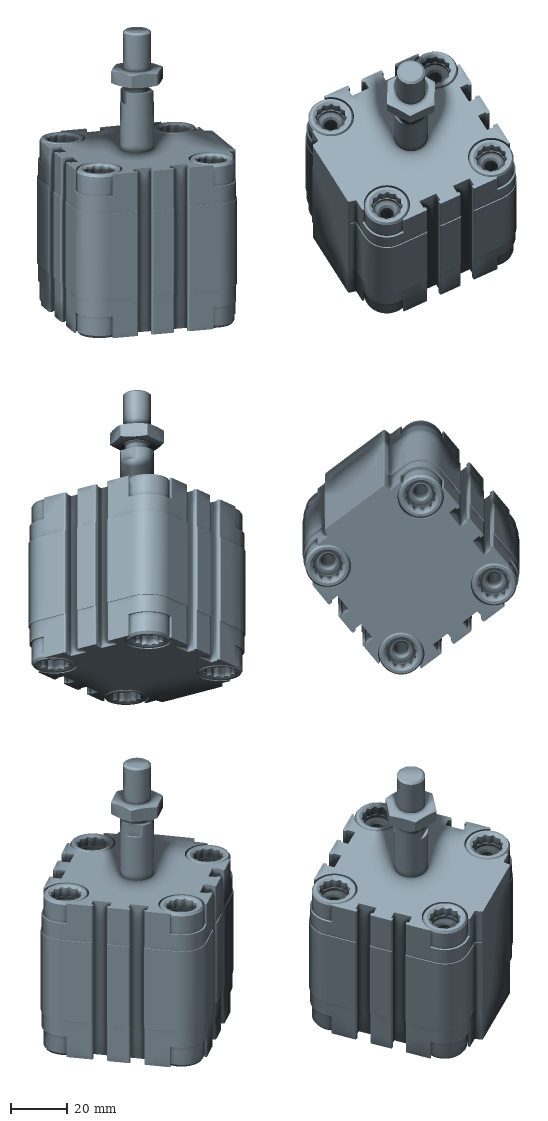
import cadquery as cq
import math

total_height = 104.0
housing_height = 60.4
cap_height = 14.5

barrel_width = 60.0
barrel_half_width = barrel_width / 2
barrel_step = 0.3
cap_half_width = barrel_half_width - barrel_step
screw_offset = 21.0

depth_over_ridge = 62.5
ridge_y = depth_over_ridge - barrel_half_width
ridge_top_half_width = 13.5
ridge_base_half_width = 14.1
ridge_top_round = 0.6
ridge_base_round = 0.5

slot_offset = 6.8
slot_mouth_width = 5.2
slot_inner_width = 6.8
slot_lip_distance = 28.3
slot_floor_distance = 25.2
slot_lip_round = 0.5

screw_diameter = 16.0
screw_rim_diameter = 14.8
screw_chamfer_height = 0.9
screw_pocket_diameter = 16.4
relief_depth = 8.0
relief_overrun = 2.2
socket_mouth_diameter = 12.8
socket_point_diameter = 11.4
socket_cone_depth = 0.8
socket_spline_depth = 4.0
socket_floor_diameter = 10.0
socket_depth = 5.1
bore_diameter = 4.9
bore_mouth_diameter = 6.5

rod_diameter = 12.0
rod_shoulder_z = 82.1
flat_spacing = 10.0
flat_bottom_z = 77.5
neck_diameter = 8.5
thread_diameter = 10.0
thread_start_z = 84.1
thread_tip_diameter = 8.3
thread_tip_height = 0.6

nut_across_flats = 16.8
nut_bottom_z = 85.0
nut_height = 5.0
nut_chamfer_angle = math.radians(15)

hexagon_sides = 6
hexagon_step = 360 / hexagon_sides


def cylinder(diameter, bottom_z, height):
    """Cylinder on the Z axis."""
    return cq.Workplane("XY").circle(diameter / 2).extrude(height).translate((0, 0, bottom_z))


def cone(lower_diameter, upper_diameter, bottom_z, height):
    """Truncated cone on the Z axis."""
    base_point = cq.Vector(0, 0, bottom_z)
    return cq.Workplane(obj=cq.Solid.makeCone(lower_diameter / 2, upper_diameter / 2, height, pnt=base_point))


def slot_cutter(half_width, height):
    """One T slot for the -Y side of a block, with the outer edges of its lips rounded."""
    half_mouth = slot_mouth_width / 2
    half_inner = slot_inner_width / 2
    round_centre_x = half_mouth + slot_lip_round
    round_centre_y = slot_lip_round - half_width
    arc_offset = slot_lip_round * math.sqrt(0.5)
    return (
        cq.Workplane("XY")
        .moveTo(-half_inner, -slot_floor_distance)
        .lineTo(half_inner, -slot_floor_distance)
        .lineTo(half_inner, -slot_lip_distance)
        .lineTo(half_mouth, -slot_lip_distance)
        .lineTo(half_mouth, round_centre_y)
        .threePointArc(
            (round_centre_x - arc_offset, round_centre_y - arc_offset),
            (round_centre_x, -half_width),
        )
        .lineTo(-round_centre_x, -half_width)
        .threePointArc(
            (arc_offset - round_centre_x, round_centre_y - arc_offset),
            (-half_mouth, round_centre_y),
        )
        .lineTo(-half_mouth, -slot_lip_distance)
        .lineTo(-half_inner, -slot_lip_distance)
        .close()
        .extrude(height)
    )


def prism(half_width, ridge_base, bottom_z, height):
    """Rounded square block, with the ridge on its +Y side and slots on the other sides."""
    square = cq.Workplane("XY").rect(2 * half_width, 2 * half_width).extrude(height)
    square = square.edges("|Z").fillet(half_width - screw_offset)
    ridge = (
        cq.Workplane("XY")
        .polyline([
            (-ridge_base, 0),
            (-ridge_base, half_width),
            (-ridge_top_half_width, ridge_y),
            (ridge_top_half_width, ridge_y),
            (ridge_base, half_width),
            (ridge_base, 0),
        ])
        .close()
        .extrude(height)
    )
    ridge = ridge.faces(">Y").edges("|Z").fillet(ridge_top_round)
    block = square.union(ridge)
    for side in (-1, 1):
        base_edge = cq.selectors.NearestToPointSelector((side * ridge_base, half_width, height / 2))
        block = block.edges("|Z").edges(base_edge).fillet(ridge_base_round)
    for angle in (-90, 0, 90):
        for side in (-1, 1):
            slot = slot_cutter(half_width, height).translate((side * slot_offset, 0, 0))
            block = block.cut(slot.rotate((0, 0, 0), (0, 0, 1), angle))
    return block.translate((0, 0, bottom_z))


def screw_head():
    """Screw head on the Z axis, its rim at the top of the housing."""
    straight_top = housing_height - screw_chamfer_height
    straight = cylinder(screw_diameter, housing_height - relief_depth, relief_depth - screw_chamfer_height)
    return straight.union(cone(screw_diameter, screw_rim_diameter, straight_top, screw_chamfer_height))


def head_clearance():
    """Space around a screw head on the Z axis, opened outward toward +X and +Y."""
    bottom_z = housing_height - relief_depth
    pocket = cylinder(screw_pocket_diameter, bottom_z, relief_depth)
    relief = cq.Workplane("XY").box(screw_diameter, screw_diameter, relief_depth, centered=False)
    relief = relief.translate((-relief_overrun, -relief_overrun, bottom_z))
    return pocket.union(relief).cut(screw_head())


def screw_socket():
    """Twelve-point socket on the Z axis, open at the top of the housing."""
    floor_z = housing_height - socket_depth
    cone_z = housing_height - socket_cone_depth
    bore_cone_height = (bore_mouth_diameter - bore_diameter) / 2
    socket = cylinder(socket_floor_diameter, floor_z, socket_depth)
    for angle in (0, hexagon_step / 2):
        hexagon = cq.Workplane("XY").polygon(hexagon_sides, socket_point_diameter).extrude(socket_spline_depth)
        hexagon = hexagon.rotate((0, 0, 0), (0, 0, 1), angle)
        socket = socket.union(hexagon.translate((0, 0, housing_height - socket_spline_depth)))
    socket = socket.union(cone(socket_floor_diameter, socket_mouth_diameter, cone_z, socket_cone_depth))
    bore_mouth = cone(bore_diameter, bore_mouth_diameter, floor_z - bore_cone_height, bore_cone_height)
    return socket.union(bore_mouth)


def make_housing():
    """Barrel and end caps in one piece, with the screw heads at all eight corners."""
    barrel_height = housing_height - 2 * cap_height
    housing = prism(cap_half_width, ridge_base_half_width, 0, housing_height)
    housing = housing.union(
        prism(barrel_half_width, ridge_base_half_width + barrel_step, cap_height, barrel_height)
    )

    middle = (0, 0, housing_height / 2)
    end_cut = head_clearance().union(screw_socket())
    corner_cut = end_cut.union(end_cut.mirror("XY", middle))
    corner_cut = corner_cut.union(cylinder(bore_diameter, 0, housing_height))
    corner_cut = corner_cut.translate((screw_offset, screw_offset, 0))
    for side_x in (False, True):
        for side_y in (False, True):
            cutter = corner_cut
            if side_x:
                cutter = cutter.mirror("YZ")
            if side_y:
                cutter = cutter.mirror("XZ")
            housing = housing.cut(cutter)
    return housing


def make_rod():
    """Piston rod standing on the housing, with wrench flats, a neck and a threaded end."""
    thread_cone_height = (thread_diameter - neck_diameter) / 2
    thread_z = thread_start_z + thread_cone_height
    tip_z = total_height - thread_tip_height
    rod = cylinder(rod_diameter, housing_height, rod_shoulder_z - housing_height)
    flats = cq.Workplane("XY").rect(2 * rod_diameter, 2 * rod_diameter).rect(2 * rod_diameter, flat_spacing)
    flats = flats.extrude(rod_shoulder_z - flat_bottom_z).translate((0, 0, flat_bottom_z))
    rod = rod.cut(flats)
    rod = rod.union(cylinder(neck_diameter, rod_shoulder_z, thread_start_z - rod_shoulder_z))
    rod = rod.union(cone(neck_diameter, thread_diameter, thread_start_z, thread_cone_height))
    rod = rod.union(cylinder(thread_diameter, thread_z, tip_z - thread_z))
    return rod.union(cone(thread_diameter, thread_tip_diameter, tip_z, thread_tip_height))


def make_nut():
    """Hexagon nut on the threaded end, chamfered on both faces, with corners toward +Y and -Y."""
    across_corners = nut_across_flats / math.cos(math.radians(hexagon_step / 2))
    chamfer_height = (across_corners - nut_across_flats) / 2 * math.tan(nut_chamfer_angle)
    nut = cq.Workplane("XY").polygon(hexagon_sides, across_corners).extrude(nut_height)
    nut = nut.rotate((0, 0, 0), (0, 0, 1), hexagon_step / 2)
    envelope = cone(nut_across_flats, across_corners, 0, chamfer_height)
    envelope = envelope.union(cylinder(across_corners, chamfer_height, nut_height - 2 * chamfer_height))
    envelope = envelope.union(
        cone(across_corners, nut_across_flats, nut_height - chamfer_height, chamfer_height)
    )
    nut = nut.intersect(envelope)
    nut = nut.cut(cylinder(thread_diameter, 0, nut_height))
    return nut.translate((0, 0, nut_bottom_z))


housing = make_housing()
rod = make_rod()
nut = make_nut()

result = cq.Compound.makeCompound([housing.val(), rod.val(), nut.val()])